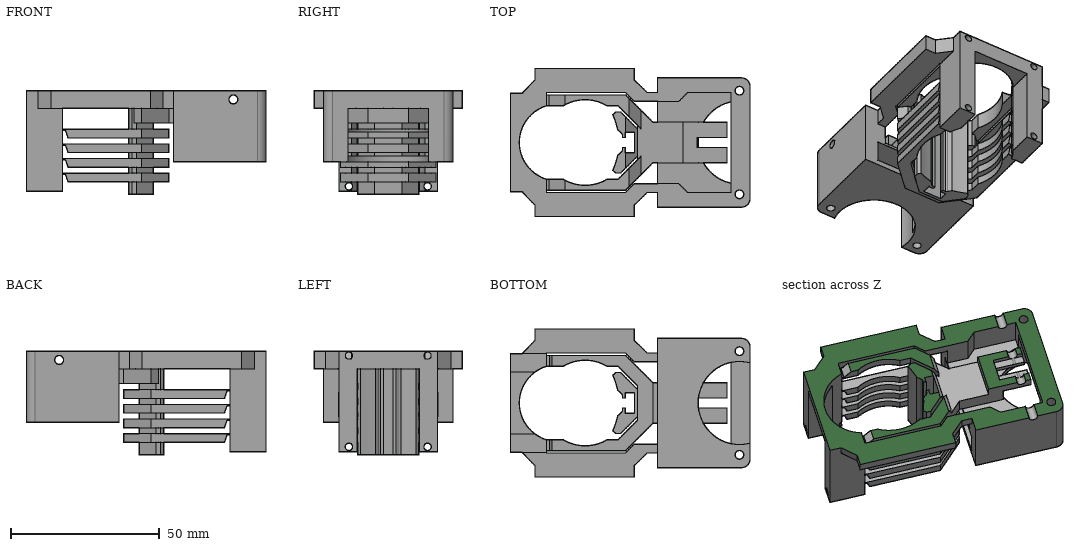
import cadquery as cq
import math


LENGTH = 80.75
PLATE_THICK = 6.0
LEFT_END_HALF = 16.6
WIDTH = 49.8
SHOULDER_HALF = WIDTH / 2
SHOULDER_CORNER_HALF = 21.1
SHOULDER_X = (8.3, 41.75)
LEFT_CHAMFER_X = 3.95
NECK_HALF = 16.9
NECK_X = 46.0

RING_X = 16.0
RING_RADIUS = 12.9
SLOT_X = 12.3
SLOT_HALF = 16.8
THROAT_HALF = 13.8
SLOT_TAPER_X = 38.8

BOX_X = 49.5
BOX_HALF = 21.8
BOX_HEIGHT = 24.0
BOX_CORNER_RADIUS = 3.0
POCKET_TAPER_X = 56.7
POCKET_END_X = 74.2
SLAB_TOP = -13.0
BAY_TOP = -14.0
BAY_FLOOR = -22.0
FINGER_X = 77.2
FINGER_RADIUS = 14.0

LEG_HEIGHT = 33.9
LEG_INNER_HALF = 10.5

ARM_OUTER_HALF = 16.1
ARM_INNER_HALF = 12.35
BULGE_X = 25.2
BULGE_RADIUS = 14.4
INNER_TAPER_X = 36.25
JOINT_X = 42.8
V_END_X = 48.0
V_END_HALF = ARM_OUTER_HALF - (V_END_X - SLOT_TAPER_X)
RAMP_DROP = 4.0
ARM_RAMP_X = 40.0
ARM_HINGE_X = 13.0
ARM_HINGE_THICK = 0.7
ARM_RISE_END_X = 18.5

LOWER_ARM_BOTTOM = -11.0
LOWER_ARM_START_X = 36.2
LOWER_ARM_END_X = 63.3
BLOCK_X = (58.1, 73.0)
BLOCK_SLOT_X = 62.9
BLOCK_SLOT_HALF = 1.6
NUT_POCKET_HALF = 4.0
NUT_POCKET_HEIGHT = 2.8

FIN_COUNT = 4
FIN_TOP = -13.0
FIN_PITCH = 4.9
FIN_THICK = 3.0
FIN_HINGE_THICK = 0.5
FIN_HINGE_X = 13.2
FIN_CHAMFER_END_X = 14.05

COLUMN_BOTTOM = -35.0
COLUMN_RAMP_X = JOINT_X - RAMP_DROP
COLUMN_FACE_RADIUS = 20.6
COLUMN_KEYWAY_X = (38.8, 41.75)
COLUMN_KEYWAY_HALF = 3.4
COLUMN_MOUTH_HALF = 1.6

LEG_HOLE_DIAMETER = 2.4
LEG_HOLE_Y = 13.25
LEG_HOLE_Z = (-1.5, -32.2)
CORNER_HOLE_DIAMETER = 2.8
CORNER_HOLE_X = 77.1
CORNER_HOLE_Y = 17.45
CROSS_HOLE_DIAMETER = 2.9
CROSS_HOLE_X = 69.7
CROSS_HOLE_Z = -PLATE_THICK / 2

MARGIN = 0.8


def centred_box(x_range, half_width, z_range):
    """Axis-aligned block between the given limits, spread evenly about Y = 0."""
    start, end = x_range
    bottom, top = z_range
    block = cq.Workplane("XY").box(end - start, 2 * half_width, top - bottom, centered=(False, True, False))
    return block.translate((start, 0, bottom))


def cylinder(x, radius, z_range):
    """Upright cylinder on the centre line."""
    bottom, top = z_range
    return cq.Workplane("XY", origin=(x, 0, bottom)).circle(radius).extrude(top - bottom)


def prism(half_outline, z_range):
    """Upright prism whose plan is the given Y > 0 outline joined to its mirror image."""
    bottom, top = z_range
    mirror = [(x, -y) for x, y in reversed(half_outline)]
    plane = cq.Workplane("XY", origin=(0, 0, bottom))
    return plane.polyline(half_outline + mirror).close().extrude(top - bottom)


def side_prism(outline):
    """Prism across the full width with the given XZ profile."""
    return cq.Workplane("XZ").polyline(outline).close().extrude(SHOULDER_HALF, both=True)


def make_plate():
    shoulder_start, shoulder_end = SHOULDER_X
    outline = [
        (0, LEFT_END_HALF),
        (LEFT_CHAMFER_X, LEFT_END_HALF),
        (shoulder_start, SHOULDER_CORNER_HALF),
        (shoulder_start, SHOULDER_HALF),
        (shoulder_end, SHOULDER_HALF),
        (shoulder_end, SHOULDER_CORNER_HALF),
        (NECK_X, NECK_HALF),
        (BOX_X + MARGIN, NECK_HALF),
    ]
    return prism(outline, (-PLATE_THICK, 0))


def make_box():
    body = centred_box((BOX_X, LENGTH), BOX_HALF, (-BOX_HEIGHT, 0))
    body = body.edges("|Z and >X").fillet(BOX_CORNER_RADIUS)
    bay = centred_box((BOX_X - MARGIN, POCKET_END_X), SLOT_HALF, (BAY_FLOOR, BAY_TOP))
    finger_hole = cylinder(FINGER_X, FINGER_RADIUS, (-BOX_HEIGHT - MARGIN, -PLATE_THICK))
    return body.cut(bay).cut(finger_hole)


def make_legs():
    legs = centred_box((0, SLOT_X), LEFT_END_HALF, (-LEG_HEIGHT, 0))
    gap = centred_box((0, SLOT_X), LEG_INNER_HALF, (-LEG_HEIGHT, -PLATE_THICK))
    return legs.cut(gap)


def make_frame_opening():
    """Arm slot, throat and box pocket, joined to the round opening that also hollows the legs."""
    taper = SLOT_HALF - THROAT_HALF
    outline = [
        (SLOT_X, SLOT_HALF),
        (SLOT_TAPER_X, SLOT_HALF),
        (SLOT_TAPER_X + taper, THROAT_HALF),
        (POCKET_TAPER_X, THROAT_HALF),
        (POCKET_TAPER_X + taper, SLOT_HALF),
        (POCKET_END_X, SLOT_HALF),
    ]
    opening = prism(outline, (SLAB_TOP, MARGIN))
    return opening.union(cylinder(RING_X, RING_RADIUS, (-LEG_HEIGHT - MARGIN, MARGIN)))


def v_solid(x_inner_end, z_range):
    """Pair of arms closing to a V; the gap between them ends at x_inner_end."""
    bottom, top = z_range
    outer = [
        (SLOT_X, ARM_OUTER_HALF),
        (SLOT_TAPER_X, ARM_OUTER_HALF),
        (V_END_X, V_END_HALF),
    ]
    inner = [
        (SLOT_X - MARGIN, ARM_INNER_HALF),
        (INNER_TAPER_X, ARM_INNER_HALF),
        (x_inner_end, ARM_INNER_HALF - (x_inner_end - INNER_TAPER_X)),
    ]
    cut_range = (bottom - MARGIN, top + MARGIN)
    arms = prism(outer, z_range).cut(prism(inner, cut_range))
    return arms.cut(cylinder(BULGE_X, BULGE_RADIUS, cut_range))


def make_upper_arms():
    ramp_end_x = ARM_RAMP_X + RAMP_DROP
    profile = side_prism([
        (SLOT_X, -PLATE_THICK),
        (SLOT_X, -PLATE_THICK + ARM_HINGE_THICK),
        (ARM_HINGE_X, -PLATE_THICK + ARM_HINGE_THICK),
        (ARM_RISE_END_X, 0),
        (ARM_RAMP_X, 0),
        (ramp_end_x, -RAMP_DROP),
        (ramp_end_x, -PLATE_THICK),
    ])
    return v_solid(ramp_end_x, (-PLATE_THICK, 0)).intersect(profile)


def make_lower_arm():
    z_range = (LOWER_ARM_BOTTOM, -PLATE_THICK)
    start_half = ARM_OUTER_HALF - (SLOT_TAPER_X - LOWER_ARM_START_X)
    start = prism(
        [
            (LOWER_ARM_START_X, start_half),
            (SLOT_TAPER_X, ARM_OUTER_HALF),
            (V_END_X, ARM_OUTER_HALF),
        ],
        z_range,
    )
    beam = centred_box((V_END_X, LOWER_ARM_END_X), V_END_HALF, z_range)
    return v_solid(JOINT_X, z_range).intersect(start).union(beam)


def make_block():
    start, end = BLOCK_X
    block = centred_box(BLOCK_X, V_END_HALF, (-PLATE_THICK, 0))
    slot = centred_box((BLOCK_SLOT_X, end), BLOCK_SLOT_HALF, (-PLATE_THICK, 0))
    pocket_bottom = CROSS_HOLE_Z - NUT_POCKET_HEIGHT / 2
    pocket = centred_box(
        (BLOCK_SLOT_X, end), NUT_POCKET_HALF, (pocket_bottom, pocket_bottom + NUT_POCKET_HEIGHT)
    )
    return block.cut(slot).cut(pocket)


def make_fin(top):
    bottom = top - FIN_THICK
    profile = side_prism([
        (SLOT_X, top),
        (SLOT_X, top - FIN_HINGE_THICK),
        (FIN_HINGE_X, top - FIN_HINGE_THICK),
        (FIN_CHAMFER_END_X, bottom),
        (V_END_X, bottom),
        (V_END_X, top),
    ])
    return v_solid(JOINT_X, (bottom, top)).intersect(profile)


def make_column():
    face_tip = (34.5, 9.4)
    face_root_half = 4.3
    shoulder = (37.3, 3.2)
    lip_x, lip_half = 37.7, 2.7
    back_corner = (37.1, 10.3)
    tip_corner_x = 35.5
    back_half = back_corner[1] - (JOINT_X - back_corner[0])
    keyway_start, keyway_end = COLUMN_KEYWAY_X

    face_root_x = RING_X + math.sqrt(COLUMN_FACE_RADIUS**2 - face_root_half**2)
    face_mid_half = (face_tip[1] + face_root_half) / 2
    face_mid_x = RING_X + math.sqrt(COLUMN_FACE_RADIUS**2 - face_mid_half**2)
    half = (
        cq.Workplane("XY", origin=(0, 0, COLUMN_BOTTOM))
        .moveTo(JOINT_X, 0)
        .lineTo(JOINT_X, back_half)
        .lineTo(*back_corner)
        .lineTo(tip_corner_x, back_corner[1])
        .lineTo(*face_tip)
        .threePointArc((face_mid_x, face_mid_half), (face_root_x, face_root_half))
        .lineTo(*shoulder)
        .lineTo(lip_x, lip_half)
        .lineTo(lip_x, COLUMN_MOUTH_HALF)
        .lineTo(keyway_start, COLUMN_MOUTH_HALF)
        .lineTo(keyway_start, COLUMN_KEYWAY_HALF)
        .lineTo(keyway_end, COLUMN_KEYWAY_HALF)
        .lineTo(keyway_end, 0)
        .close()
        .extrude(-COLUMN_BOTTOM)
    )
    column = half.union(half.mirror("XZ"))
    ramp = side_prism([(COLUMN_RAMP_X, 0), (JOINT_X, 0), (JOINT_X, -RAMP_DROP)])
    return column.cut(ramp)


def make_leg_holes():
    points = [(y, z) for y in (-LEG_HOLE_Y, LEG_HOLE_Y) for z in LEG_HOLE_Z]
    return cq.Workplane("YZ").pushPoints(points).circle(LEG_HOLE_DIAMETER / 2).extrude(SLOT_X)


def make_corner_holes():
    points = [(CORNER_HOLE_X, y) for y in (-CORNER_HOLE_Y, CORNER_HOLE_Y)]
    return cq.Workplane("XY").pushPoints(points).circle(CORNER_HOLE_DIAMETER / 2).extrude(-BOX_HEIGHT)


def make_cross_hole():
    hole = cq.Workplane("XZ").center(CROSS_HOLE_X, CROSS_HOLE_Z).circle(CROSS_HOLE_DIAMETER / 2)
    return hole.extrude(BOX_HALF, both=True)


frame = make_plate().union(make_box()).union(make_legs()).cut(make_frame_opening())

result = frame.union(make_lower_arm()).union(make_upper_arms()).union(make_block())
for index in range(FIN_COUNT):
    result = result.union(make_fin(FIN_TOP - index * FIN_PITCH))
result = result.union(make_column())
result = result.cut(make_leg_holes()).cut(make_corner_holes()).cut(make_cross_hole())